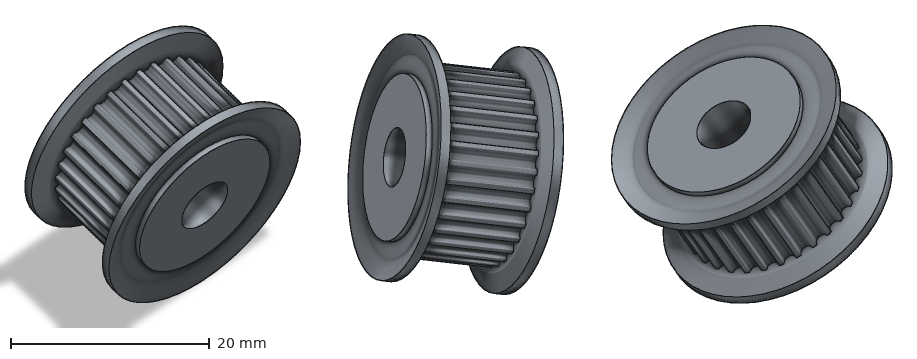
import cadquery as cq
import math


pulley_width = 13.3
flange_radius = 12.5
bore_radius = 3.0

toothed_width = 10.0
flange_thickness = 1.0
flange_flat_radius = 10.42
hub_radius = 8.5

tooth_count = 32
tooth_tip_radius = 9.92
groove_radius = 0.68
groove_center_radius = 9.88
tooth_edge_radius = 0.1

pitch_angle = 2 * math.pi / tooth_count
flange_inner_x = toothed_width / 2
flange_outer_x = flange_inner_x + flange_thickness
hub_face_x = pulley_width / 2

cone_angle = math.atan2(hub_face_x - flange_outer_x, flange_radius - flange_flat_radius)
rim_inner_x = hub_face_x - flange_thickness / math.cos(cone_angle)
inner_flat_radius = flange_radius - (rim_inner_x - flange_inner_x) / math.tan(cone_angle)


def polar(radius, angle):
    """Point at an angle measured from the vertical axis of the tooth section."""
    return (radius * math.sin(angle), radius * math.cos(angle))


def make_toothed_drum():
    """Drum with round-bottomed grooves whose mouths are rounded over."""
    edge_center_radius = tooth_tip_radius - tooth_edge_radius
    center_spacing = groove_radius + tooth_edge_radius
    edge_angle = math.acos(
        (groove_center_radius**2 + edge_center_radius**2 - center_spacing**2)
        / (2 * groove_center_radius * edge_center_radius)
    )

    edge_x, edge_y = polar(edge_center_radius, edge_angle)
    groove_share = groove_radius / center_spacing
    touch_x = edge_x * groove_share
    touch_y = groove_center_radius + (edge_y - groove_center_radius) * groove_share
    touch_radius = math.hypot(touch_x, touch_y)
    touch_angle = math.atan2(touch_x, touch_y)

    groove_direction = math.atan2(touch_x - edge_x, touch_y - edge_y)
    middle_x, middle_y = polar(tooth_edge_radius, (edge_angle + groove_direction) / 2)
    middle_radius = math.hypot(edge_x + middle_x, edge_y + middle_y)
    middle_angle = math.atan2(edge_x + middle_x, edge_y + middle_y)

    groove_bottom_radius = groove_center_radius - groove_radius
    section = cq.Workplane("YZ", origin=(-flange_inner_x, 0, 0))
    outline = section.moveTo(*polar(tooth_tip_radius, -edge_angle))
    for index in range(tooth_count):
        groove = index * pitch_angle
        entry_middle = polar(middle_radius, groove - middle_angle)
        entry_touch = polar(touch_radius, groove - touch_angle)
        groove_bottom = polar(groove_bottom_radius, groove)
        exit_touch = polar(touch_radius, groove + touch_angle)
        exit_middle = polar(middle_radius, groove + middle_angle)
        tooth_start = polar(tooth_tip_radius, groove + edge_angle)
        tooth_middle = polar(tooth_tip_radius, groove + pitch_angle / 2)
        tooth_end = polar(tooth_tip_radius, groove + pitch_angle - edge_angle)
        outline = (
            outline
            .threePointArc(entry_middle, entry_touch)
            .threePointArc(groove_bottom, exit_touch)
            .threePointArc(exit_middle, tooth_start)
            .threePointArc(tooth_middle, tooth_end)
        )
    return outline.close().extrude(toothed_width)


def make_flange():
    """Flange on the +X end, with its raised hub face."""
    half_section = [
        (flange_inner_x, 0),
        (flange_inner_x, inner_flat_radius),
        (rim_inner_x, flange_radius),
        (hub_face_x, flange_radius),
        (flange_outer_x, flange_flat_radius),
        (flange_outer_x, hub_radius),
        (hub_face_x, hub_radius),
        (hub_face_x, 0),
    ]
    return cq.Workplane("XY").polyline(half_section).close().revolve(360, (0, 0, 0), (1, 0, 0))


def make_bore():
    """Cylinder filling the through bore."""
    return cq.Workplane("YZ").circle(bore_radius).extrude(hub_face_x, both=True)


flange = make_flange()
body = make_toothed_drum().union(flange).union(flange.mirror("YZ"))
result = body.cut(make_bore())